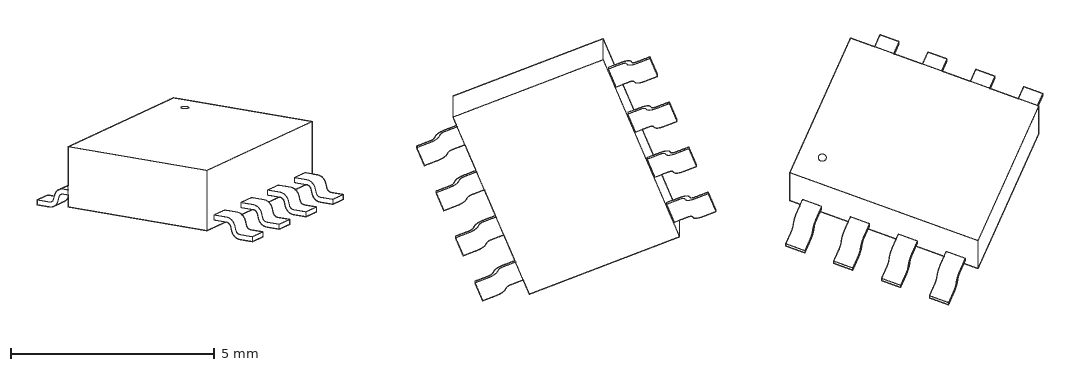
import cadquery as cq
import math


lead_span = 6.2
package_height = 1.75

housing_length_x = 3.99
housing_length_y = 5.0
standoff = 0.2
housing_height = package_height - standoff

leads_per_side = 4
lead_pitch = 1.27
lead_width = 0.51
lead_thickness = 0.13
lead_drop = 0.39
shoulder_length = 0.355
bend_inner_radius = 0.125
bend_angle = 75.0

marker_diameter = 0.2
marker_depth = 0.06
marker_inset_x = 0.68
marker_inset_y = 0.59
marker_x = -housing_length_x / 2 + marker_inset_x
marker_y = housing_length_y / 2 - marker_inset_y


def make_marker():
    """Disc whose top lies in the top face of the housing."""
    return (
        cq.Workplane("XY", origin=(marker_x, marker_y, package_height - marker_depth))
        .circle(marker_diameter / 2)
        .extrude(marker_depth)
    )


def make_housing():
    """Plain block with a recess that the marker fills."""
    block = (
        cq.Workplane("XY", origin=(0, 0, standoff))
        .rect(housing_length_x, housing_length_y)
        .extrude(housing_height)
    )
    return block.cut(make_marker())


def make_right_lead(y_center):
    """Gull-wing lead on the +X side: shoulder, bend, sloping leg, opposite bend and foot."""
    inner = bend_inner_radius
    outer = inner + lead_thickness
    angle = math.radians(bend_angle)

    root_x = housing_length_x / 2
    tip_x = lead_span / 2
    shoulder_top = lead_drop + lead_thickness

    leg_drop = lead_drop - (inner + outer) * (1 - math.cos(angle))
    leg_run = leg_drop / math.tan(angle)

    upper_x = root_x + shoulder_length
    upper_z = shoulder_top - outer
    lower_x = upper_x + (inner + outer) * math.sin(angle) + leg_run
    lower_z = outer

    def upper_bend(radius, turn):
        return (upper_x + radius * math.sin(turn), upper_z + radius * math.cos(turn))

    def lower_bend(radius, turn):
        return (lower_x - radius * math.sin(turn), lower_z - radius * math.cos(turn))

    profile = (
        cq.Workplane("XZ", origin=(0, y_center + lead_width / 2, 0))
        .moveTo(root_x, shoulder_top)
        .lineTo(*upper_bend(outer, 0))
        .threePointArc(upper_bend(outer, angle / 2), upper_bend(outer, angle))
        .lineTo(*lower_bend(inner, angle))
        .threePointArc(lower_bend(inner, angle / 2), lower_bend(inner, 0))
        .lineTo(tip_x, lead_thickness)
        .lineTo(tip_x, 0)
        .lineTo(*lower_bend(outer, 0))
        .threePointArc(lower_bend(outer, angle / 2), lower_bend(outer, angle))
        .lineTo(*upper_bend(inner, angle))
        .threePointArc(upper_bend(inner, angle / 2), upper_bend(inner, 0))
        .lineTo(root_x, shoulder_top - lead_thickness)
        .close()
    )
    return profile.extrude(lead_width)


def make_leads():
    """Two mirrored rows of leads, evenly spaced along Y."""
    leads = []
    for index in range(leads_per_side):
        y_center = (index - (leads_per_side - 1) / 2) * lead_pitch
        right_lead = make_right_lead(y_center)
        left_lead = right_lead.mirror("YZ")
        leads.append(right_lead.val())
        leads.append(left_lead.val())
    return leads


housing = make_housing()
marker = make_marker()
leads = make_leads()

result = cq.Compound.makeCompound([housing.val(), marker.val(), *leads])